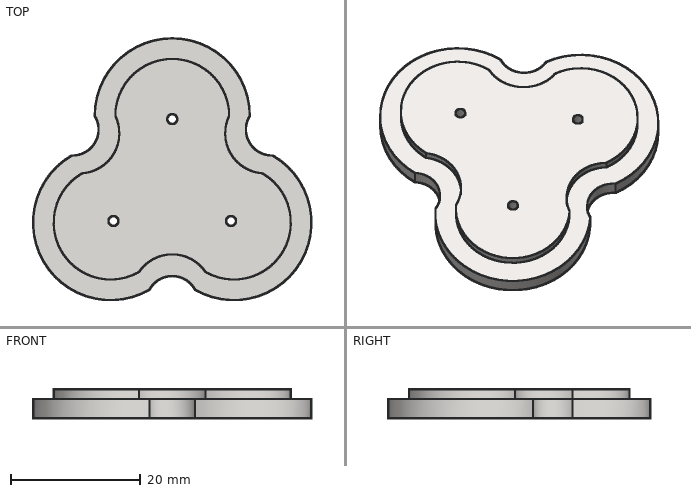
import cadquery as cq
import math

LOBE_COUNT = 3
LOBE_ANGLE = 90.0
LOBE_PITCH_RADIUS = 11.0

BASE_THICKNESS = 3.0
BASE_LOBE_RADIUS = 12.0
BASE_WAIST_RADIUS = 4.0
BASE_WAIST_PITCH_RADIUS = 17.78

STEP_HEIGHT = 1.5
STEP_LOBE_RADIUS = 8.8
STEP_WAIST_RADIUS = 6.2
STEP_WAIST_PITCH_RADIUS = 16.6

HOLE_DIAMETER = 1.5
HOLE_PITCH_RADIUS = 10.5

TOTAL_HEIGHT = BASE_THICKNESS + STEP_HEIGHT
PITCH_ANGLE = 360.0 / LOBE_COUNT


def polar(radius, angle):
    """Point at the given distance from the Z axis and angle in degrees."""
    return radius * math.cos(math.radians(angle)), radius * math.sin(math.radians(angle))


def junction(lobe_radius, waist_radius, waist_pitch_radius):
    """Distance from the axis, and angle from the lobe direction, where lobe and waist arcs meet.

    The lobe centre lies along local +X. Of the two crossings, the outer one is used.
    """
    lobe_x = LOBE_PITCH_RADIUS
    waist_x, waist_y = polar(waist_pitch_radius, PITCH_ANGLE / 2)
    span_x = waist_x - lobe_x
    span = math.hypot(span_x, waist_y)
    along = (span**2 + lobe_radius**2 - waist_radius**2) / (2 * span)
    across = math.sqrt(lobe_radius**2 - along**2)
    x = lobe_x + (along * span_x + across * waist_y) / span
    y = (along * waist_y - across * span_x) / span
    return math.hypot(x, y), math.degrees(math.atan2(y, x))


def lobed_plate(bottom, thickness, lobe_radius, waist_radius, waist_pitch_radius):
    """Plate whose outline alternates convex lobe arcs and concave waist arcs."""
    corner_radius, corner_angle = junction(lobe_radius, waist_radius, waist_pitch_radius)
    lobe_tip = LOBE_PITCH_RADIUS + lobe_radius
    waist_bottom = waist_pitch_radius - waist_radius

    outline = cq.Workplane("XY").workplane(offset=bottom)
    outline = outline.moveTo(*polar(corner_radius, LOBE_ANGLE - corner_angle))
    for index in range(LOBE_COUNT):
        lobe = LOBE_ANGLE + index * PITCH_ANGLE
        waist = lobe + PITCH_ANGLE / 2
        next_lobe = lobe + PITCH_ANGLE
        lobe_end = polar(corner_radius, lobe + corner_angle)
        waist_end = polar(corner_radius, next_lobe - corner_angle)
        outline = outline.threePointArc(polar(lobe_tip, lobe), lobe_end)
        outline = outline.threePointArc(polar(waist_bottom, waist), waist_end)
    return outline.close().extrude(thickness)


def lobe_holes():
    """Through holes, one in each lobe."""
    centres = [polar(HOLE_PITCH_RADIUS, LOBE_ANGLE + index * PITCH_ANGLE) for index in range(LOBE_COUNT)]
    return cq.Workplane("XY").pushPoints(centres).circle(HOLE_DIAMETER / 2).extrude(TOTAL_HEIGHT)


base = lobed_plate(0, BASE_THICKNESS, BASE_LOBE_RADIUS, BASE_WAIST_RADIUS, BASE_WAIST_PITCH_RADIUS)
step = lobed_plate(
    BASE_THICKNESS, STEP_HEIGHT, STEP_LOBE_RADIUS, STEP_WAIST_RADIUS, STEP_WAIST_PITCH_RADIUS
)
result = base.union(step).cut(lobe_holes())